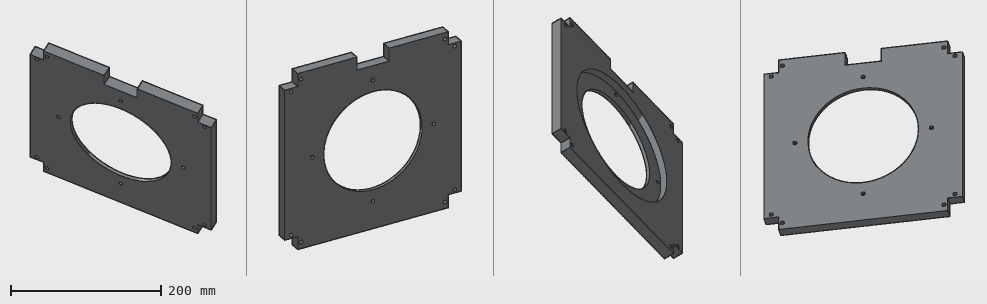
import cadquery as cq

side = 270.0
thickness = 15.0
corner_notch = 20.0

slot_width = 49.1
slot_depth = 20.0

opening_diameter = 150.0
flange_thickness = 5.0

recess_diameter = 200.0
recess_depth = thickness - flange_thickness

hole_diameter = 5.0
ring_hole_radius = 93.0
corner_hole_outer = 125.0
corner_hole_inner = 110.0

half = side / 2


def cutter(sketch):
    """Extrude a sketch on the XZ plane through the plate thickness."""
    return sketch.extrude(thickness / 2, both=True)


result = cq.Workplane("XY").box(side, thickness, side)

notch_centre = half - corner_notch / 2
notch_points = [(sx * notch_centre, sz * notch_centre) for sx in (-1, 1) for sz in (-1, 1)]
result = result.cut(cutter(cq.Workplane("XZ").pushPoints(notch_points).rect(corner_notch, corner_notch)))

slot = cq.Workplane("XZ").center(0, half - slot_depth / 2).rect(slot_width, slot_depth)
result = result.cut(cutter(slot))

result = result.cut(cutter(cq.Workplane("XZ").circle(opening_diameter / 2)))

recess = cq.Workplane("XZ", origin=(0, thickness / 2, 0)).circle(recess_diameter / 2).extrude(recess_depth)
result = result.cut(recess)

hole_points = [
    (ring_hole_radius, 0),
    (-ring_hole_radius, 0),
    (0, ring_hole_radius),
    (0, -ring_hole_radius),
]
for sx in (-1, 1):
    for sz in (-1, 1):
        hole_points.append((sx * corner_hole_outer, sz * corner_hole_inner))
        hole_points.append((sx * corner_hole_inner, sz * corner_hole_outer))
result = result.cut(cutter(cq.Workplane("XZ").pushPoints(hole_points).circle(hole_diameter / 2)))